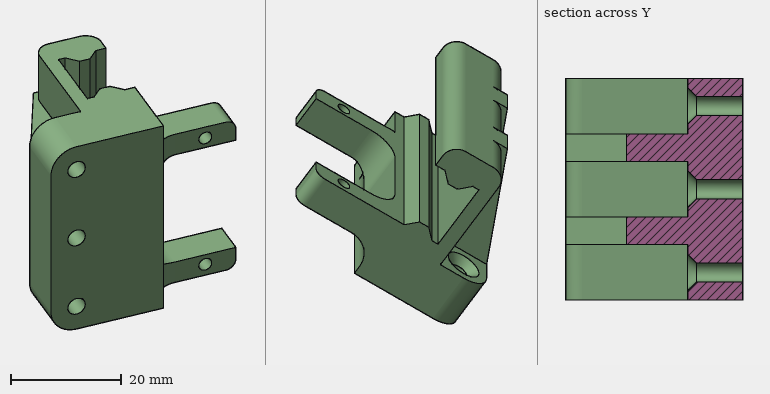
import cadquery as cq

WIDTH = 32.0
HEIGHT = 40.0
ARM_TIP_Y = 39.0

BODY_TOP_Y = 22.0
WEB_Y = 10.0
SLOT_FLOOR_Y = 12.7
SLOT_LEFT_X = 5.3
SLOT_WIDTH = 13.4
SLOT_RIGHT_X = SLOT_LEFT_X + SLOT_WIDTH
HOOK_RADIUS = 3.0

TOOTH_HEIGHT = 2.0
TOOTH_TIP_LENGTH = 2.0
TOOTH_CENTER_Y = 17.0

BLOCK_LENGTH = 10.0
BLOCK_X = WIDTH - BLOCK_LENGTH
BLOCK_RADIUS = 5.0

SCREW_DIAMETER = 3.4
HEAD_DIAMETER = 6.6
SCREW_Y = 5.0
SCREW_END_OFFSET = 5.0
SCREW_ZS = (SCREW_END_OFFSET, HEIGHT / 2, HEIGHT - SCREW_END_OFFSET)

RIB_THICKNESS = 5.0
RIB_BOTTOM_ZS = (10.0, 25.0)

ARM_THICKNESS = 6.6
ARM_HEIGHT = 4.5
ARM_SPAN = 32.5
ARM_ROOT_RADIUS = 5.0
ARM_TIP_RADIUS = 2.0
ARM_HOLE_DIAMETER = 2.5
ARM_HOLE_SETBACK = 6.0
ARM_HOLE_Y = ARM_TIP_Y - ARM_HOLE_SETBACK
ARM_HOLE_EDGE = 2.4


def x_plane(x):
    """Plane at the given X, with local axes Y and Z, facing +X."""
    return cq.Workplane("YZ", origin=(x, 0, 0))


def make_tooth(wall_x, direction):
    """Tooth standing on a slot wall; direction is the sign of its growth along X."""
    half_tip = TOOTH_TIP_LENGTH / 2
    half_root = half_tip + TOOTH_HEIGHT
    tip_x = wall_x + direction * TOOTH_HEIGHT
    return (
        cq.Workplane("XY")
        .moveTo(wall_x, TOOTH_CENTER_Y - half_root)
        .lineTo(tip_x, TOOTH_CENTER_Y - half_tip)
        .lineTo(tip_x, TOOTH_CENTER_Y + half_tip)
        .lineTo(wall_x, TOOTH_CENTER_Y + half_root)
        .close()
        .extrude(HEIGHT)
    )


def make_clamp():
    """Slotted clamp with a rounded hook, and teeth facing each other in the slot."""
    clamp = (
        cq.Workplane("XY")
        .box(WIDTH, BODY_TOP_Y - WEB_Y, HEIGHT, centered=False)
        .translate((0, WEB_Y, 0))
        .edges("|Z and <X")
        .fillet(HOOK_RADIUS)
    )
    slot = (
        cq.Workplane("XY")
        .box(SLOT_WIDTH, BODY_TOP_Y - SLOT_FLOOR_Y, HEIGHT, centered=False)
        .translate((SLOT_LEFT_X, SLOT_FLOOR_Y, 0))
    )
    clamp = clamp.cut(slot)
    clamp = clamp.union(make_tooth(SLOT_LEFT_X, 1))
    return clamp.union(make_tooth(SLOT_RIGHT_X, -1))


def make_block():
    """Mounting block with its two -Y corners rounded."""
    return (
        cq.Workplane("XY")
        .box(BLOCK_LENGTH, BODY_TOP_Y, HEIGHT, centered=False)
        .translate((BLOCK_X, 0, 0))
        .edges("|X and <Y")
        .fillet(BLOCK_RADIUS)
    )


def make_rib(bottom_z):
    """Rib from the hook corner to the -Y face of the block, filling the rounded corner."""
    return (
        cq.Workplane("XY", origin=(0, 0, bottom_z))
        .moveTo(0, WEB_Y)
        .lineTo(BLOCK_X, 0)
        .lineTo(BLOCK_X, SLOT_FLOOR_Y)
        .lineTo(HOOK_RADIUS, SLOT_FLOOR_Y)
        .lineTo(0, WEB_Y + HOOK_RADIUS)
        .close()
        .extrude(RIB_THICKNESS)
    )


def make_arms():
    """Fork of two arms, blended into the body across the fork and towards +X."""
    outer_x = SLOT_RIGHT_X + ARM_THICKNESS
    arms = (
        cq.Workplane("XY")
        .moveTo(SLOT_RIGHT_X, BODY_TOP_Y)
        .lineTo(SLOT_RIGHT_X, ARM_TIP_Y)
        .lineTo(outer_x, ARM_TIP_Y)
        .lineTo(outer_x, BODY_TOP_Y + ARM_ROOT_RADIUS)
        .radiusArc((outer_x + ARM_ROOT_RADIUS, BODY_TOP_Y), -ARM_ROOT_RADIUS)
        .close()
        .extrude(ARM_SPAN)
        .edges("|X and >Y")
        .fillet(ARM_TIP_RADIUS)
    )
    gap_top = ARM_SPAN - ARM_HEIGHT
    gap = (
        x_plane(SLOT_RIGHT_X)
        .moveTo(ARM_TIP_Y, ARM_HEIGHT)
        .lineTo(BODY_TOP_Y + ARM_ROOT_RADIUS, ARM_HEIGHT)
        .radiusArc((BODY_TOP_Y, ARM_HEIGHT + ARM_ROOT_RADIUS), ARM_ROOT_RADIUS)
        .lineTo(BODY_TOP_Y, gap_top - ARM_ROOT_RADIUS)
        .radiusArc((BODY_TOP_Y + ARM_ROOT_RADIUS, gap_top), ARM_ROOT_RADIUS)
        .lineTo(ARM_TIP_Y, gap_top)
        .close()
        .extrude(WIDTH - SLOT_RIGHT_X)
    )
    holes = (
        x_plane(SLOT_RIGHT_X)
        .pushPoints([(ARM_HOLE_Y, ARM_HOLE_EDGE), (ARM_HOLE_Y, ARM_SPAN - ARM_HOLE_EDGE)])
        .circle(ARM_HOLE_DIAMETER / 2)
        .extrude(ARM_THICKNESS)
    )
    return arms.cut(gap).cut(holes)


def make_screw_cutter(z):
    """Countersunk through hole along X, entered from the -X face of the block."""
    screw_radius = SCREW_DIAMETER / 2
    head_radius = HEAD_DIAMETER / 2
    sink_depth = head_radius - screw_radius
    cone = cq.Solid.makeCone(
        head_radius, screw_radius, sink_depth, cq.Vector(BLOCK_X, SCREW_Y, z), cq.Vector(1, 0, 0)
    )
    shank = x_plane(BLOCK_X).center(SCREW_Y, z).circle(screw_radius).extrude(BLOCK_LENGTH)
    return shank.union(cq.Workplane(obj=cone))


result = make_clamp().union(make_block()).union(make_arms())
for rib_z in RIB_BOTTOM_ZS:
    result = result.union(make_rib(rib_z))
for screw_z in SCREW_ZS:
    result = result.cut(make_screw_cutter(screw_z))